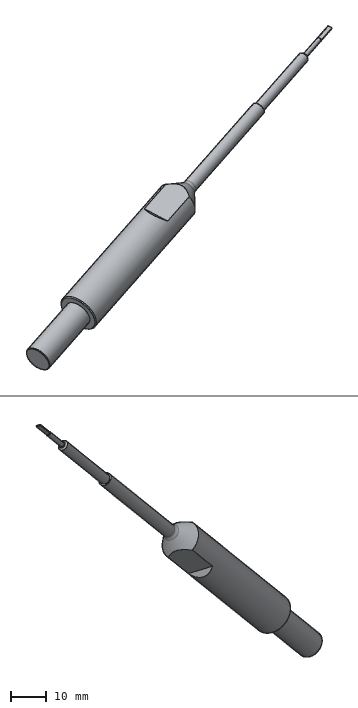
import cadquery as cq
import math

overall_length = 145.0
shank_length = 20.0
cone_start = 69.35
rod_end = 109.5
sleeve_end = 132.4
blade_length = 5.3

shank_diameter = 8.0
shank_chamfer = 0.2
body_diameter = 12.0
body_chamfer = 0.3
cone_half_angle = 36.0
cone_root_radius = 2.3
rod_diameter = 4.0
sleeve_diameter = 3.1
sleeve_chamfer = 0.5
tip_diameter = 1.4

across_flats = 9.0
flat_start = 58.65
blade_thickness = 0.4


cone_length = (body_diameter - rod_diameter) / 2 / math.tan(math.radians(cone_half_angle))
cone_corner = cone_start + cone_length

root_tangent_length = cone_root_radius * math.tan(math.radians(cone_half_angle / 2))
rod_start = cone_corner + root_tangent_length
root_center_radius = rod_diameter / 2 + cone_root_radius


def root_arc_point(angle):
    """Point on the root fillet, with the angle in degrees measured from its end on the rod."""
    turn = math.radians(angle)
    radius = root_center_radius - cone_root_radius * math.cos(turn)
    return (radius, rod_start - cone_root_radius * math.sin(turn))


def turned_body():
    """Revolve the stepped half outline about the Y axis."""
    shank_radius = shank_diameter / 2
    body_radius = body_diameter / 2
    rod_radius = rod_diameter / 2
    sleeve_radius = sleeve_diameter / 2
    tip_radius = tip_diameter / 2
    outline = (
        cq.Workplane("XY")
        .lineTo(shank_radius - shank_chamfer, 0)
        .lineTo(shank_radius, shank_chamfer)
        .lineTo(shank_radius, shank_length)
        .lineTo(body_radius - body_chamfer, shank_length)
        .lineTo(body_radius, shank_length + body_chamfer)
        .lineTo(body_radius, cone_start)
        .lineTo(*root_arc_point(cone_half_angle))
        .threePointArc(root_arc_point(cone_half_angle / 2), root_arc_point(0))
        .lineTo(rod_radius, rod_end)
        .lineTo(sleeve_radius, rod_end)
        .lineTo(sleeve_radius, sleeve_end - sleeve_chamfer)
        .lineTo(sleeve_radius - sleeve_chamfer, sleeve_end)
        .lineTo(tip_radius, sleeve_end)
        .lineTo(tip_radius, overall_length)
        .lineTo(0, overall_length)
        .close()
    )
    return outline.revolve(360, (0, 0), (0, 1))


def wrench_flat_cutter():
    """Material above the upper wrench flat, with a 45 degree run-out at the rear."""
    flat_height = across_flats / 2
    top = body_diameter
    ramp_run = top - flat_height
    section = [
        (flat_start, flat_height),
        (rod_start, flat_height),
        (rod_start, top),
        (flat_start - ramp_run, top),
    ]
    return cq.Workplane("YZ").polyline(section).close().extrude(body_diameter, both=True)


def blade_side_cutter():
    """Material above the flat screwdriver blade at the tip."""
    return (
        cq.Workplane("XY", origin=(0, overall_length - blade_length / 2, blade_thickness / 2))
        .box(2 * tip_diameter, blade_length, tip_diameter, centered=(True, True, False))
    )


def cut_both_sides(part, cutter):
    """Remove the cutter and its mirror image below the XY plane."""
    return part.cut(cutter).cut(cutter.mirror("XY"))


result = turned_body()
result = cut_both_sides(result, wrench_flat_cutter())
result = cut_both_sides(result, blade_side_cutter())